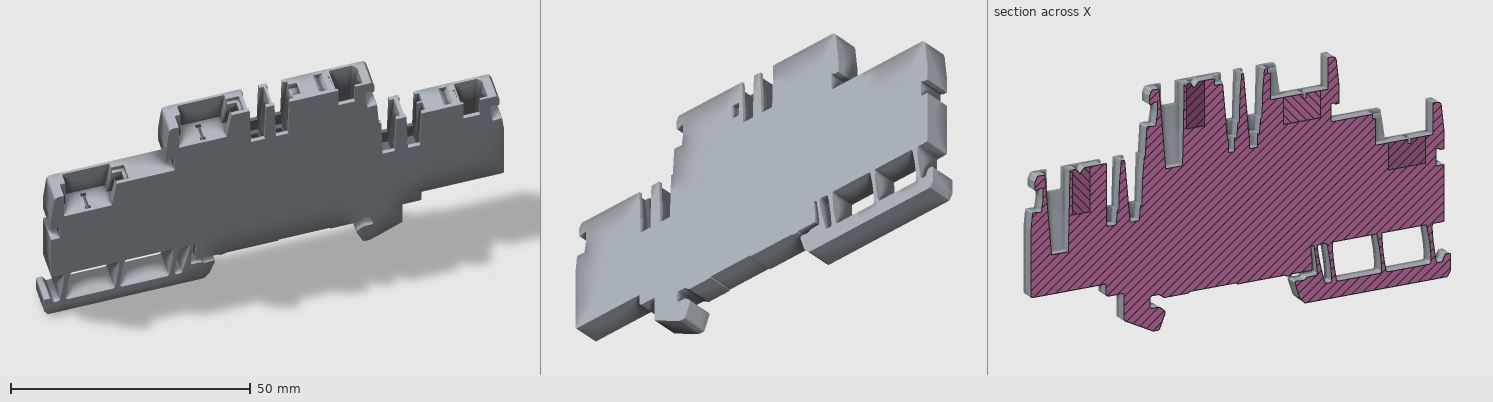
import cadquery as cq
import math


WIDTH = 6.1
TOP_UPPER = 53.6
TOP_LOWER = 39.2
LENGTH = 100.0
BELLY = 12.4
RAIL_SEAT = 7.0
FOOT_TOP = 3.6
SIDE_WALL = 0.55

ENTRY_SHIFT = 27.2
ENTRIES = [(0.0, TOP_LOWER), (ENTRY_SHIFT, TOP_UPPER)]
FUNNEL_TOP = (3.4, 9.3)
FUNNEL_FLOOR = (5.0, 8.9)
FUNNEL_TOP_X = (SIDE_WALL, 5.6)
FUNNEL_FLOOR_X = (1.3, 4.5)
FUNNEL_DEPTH = 18.0
FUNNEL_TOP_CUT = 0.9
FUNNEL_FLOOR_CUT = 0.1
SIDE_NOTCH = (5.2, 8.8)
SIDE_NOTCH_DEPTH = 5.0
BRIDGE_NOTCH = (9.6, 10.2)
BRIDGE_NOTCH_X = (2.0, 4.2)
BRIDGE_NOTCH_DEPTH = 0.5
PUSHER = (10.0, 14.1)
PUSHER_X = (0.8, 5.3)
PUSHER_DEPTH = 10.0
GROOVE = (10.8, 11.7, 12.8)
GROOVE_DEPTH = 1.2

LOWER_SOCKETS = [(17.9, 21.2), (23.4, 26.7)]
UPPER_SOCKETS = [(46.6, 49.9), (51.7, 55.3)]
SOCKET_DEPTH = 10.7
SOCKET_TAPER = 0.3
SOCKET_X = (0.8, 5.3)
SOCKET_LEAD = 1.0
SOCKET_BACK = 0.3
POCKET_DEPTH = 14.0
SOCKET_NECK = 0.9
SOCKET_RIB = (16.8, 18.1)
SOCKET_RIB_X = (2.9, 3.3)
CONTACT_HOLE_X = (1.8, 4.4)
CONTACT_HOLE_INSET = 0.5
CONTACT_HOLE_DEPTH = 3.0

TEST_POCKET = (43.8, 45.7)
TEST_POCKET_X = (1.7, 4.6)
TEST_POCKET_DEPTH = 1.5
TEST_WINDOW = (43.9, 45.7)
TEST_WINDOW_Z = (45.4, 48.7)
TEST_WINDOW_DEPTH = 1.2

LEVER_SHIFT = 25.0
LEVER_BAYS = [(0.0, TOP_UPPER), (LEVER_SHIFT, TOP_LOWER)]
BAY_END = 73.5
BAY_ROOT = 71.6
NOTCH_SILL = 25.1
RECESS_DEPTH = 7.0
RECESS_MOUTH = 59.2
LEVER_START = 60.3
LEVER_STEPS = (68.9, 70.1)
LEVER_STEP_X = 3.4
RECESS_STEPS = (69.5, 70.7)
RECESS_STEP_X = 3.0
LEVER_THICKNESS = 6.0
SCREW_SLOT = (64.6, 65.8)
SCREW_SLOT_X = (1.3, 5.5)
SCREW_SLOT_WEB = 0.6
SCREW_SLOT_PAD = 0.8
SCREW_SLOT_DEPTH = 1.0
PROBE_POCKET = (56.4, RECESS_MOUTH)
PROBE_POCKET_X = (1.7, 5.4)
PROBE_POCKET_DEPTH = 1.0
PROBE_CHANNEL = (57.1, 60.5)
PROBE_CHANNEL_X = (2.4, 4.6)

WINDOW_PITCH = 11.8
LEG_BEND = 35.0


def box(u_range, x_range, z_low, z_high):
    """Block between two u positions, two x positions and two heights."""
    (u0, u1), (x0, x1) = u_range, x_range
    block = cq.Workplane("XY").box(x1 - x0, u1 - u0, z_high - z_low, centered=False)
    return block.translate((x0, -u1, z_low))


def side_prism(points, x_range=(0, WIDTH)):
    """Prism along X from corners (u, z) or (u, z, corner radius)."""
    corners = [(-p[0], p[1], p[2] if len(p) > 2 else 0) for p in points]
    path = []
    for i, (y, z, radius) in enumerate(corners):
        before = corners[i - 1]
        after = corners[(i + 1) % len(corners)]
        if radius == 0:
            path.append([(y, z)])
            continue
        angle_in = math.atan2(before[1] - z, before[0] - y)
        angle_out = math.atan2(after[1] - z, after[0] - y)
        half = abs(math.remainder(angle_out - angle_in, 2 * math.pi)) / 2
        middle = angle_in + math.remainder(angle_out - angle_in, 2 * math.pi) / 2
        tangent = radius / math.tan(half)
        bulge = radius / math.sin(half) - radius
        path.append([
            (y + tangent * math.cos(angle_in), z + tangent * math.sin(angle_in)),
            (y + bulge * math.cos(middle), z + bulge * math.sin(middle)),
            (y + tangent * math.cos(angle_out), z + tangent * math.sin(angle_out)),
        ])
    wire = cq.Workplane("YZ", origin=(x_range[0], 0, 0)).moveTo(*path[0][-1])
    for corner in path[1:] + path[:1]:
        wire = wire.lineTo(*corner[0])
        if len(corner) == 3:
            wire = wire.threePointArc(corner[1], corner[2])
    return wire.close().extrude(x_range[1] - x_range[0])


def entry_edge(shift, top):
    """Outline of an entry's +Y end: marker notch, lip and top corner."""
    return [
        (shift + 0.4, top - 7.9, 0.3),
        (shift + 2.5, top - 8.1, 0.2),
        (shift + 2.9, top - 5.5),
        (shift + 2.9, top - 2.9),
        (shift + 2.2, top - 2.9),
        (shift + 1.0, top - 3.4, 0.3),
        (shift + 1.0, top - 1.2),
        (shift + 1.6, top, 0.4),
    ]


def lever_edge(shift, top):
    """Outline of a lever bay's -Y end: rounded corner, slope and marker notch."""
    return [
        (shift + 72.7, top, 1.1),
        (shift + BAY_END, top - 7.1),
        (shift + BAY_END, top - 10.7),
        (shift + 72.4, top - 10.7),
        (shift + 72.2, top - 10.4),
        (shift + BAY_ROOT, top - 10.4),
    ]


def body_outline():
    """Corners of the whole side outline, clockwise from the bottom of the +Y end."""
    lower_root = LEVER_SHIFT + BAY_ROOT
    lower_end = LEVER_SHIFT + BAY_END
    rail_hook = [
        (62.2, RAIL_SEAT), (62.0, 6.7), (60.8, 6.7), (60.6, RAIL_SEAT), (49.0, RAIL_SEAT), (49.0, 7.3),
        (37.8, 7.3), (37.8, RAIL_SEAT), (31.8, RAIL_SEAT, 0.5), (30.5, 7.9, 0.8), (28.4, 7.9, 0.5),
        (28.4, 5.2, 0.5), (30.6, 5.2, 1.5), (32.2, 3.9, 0.8), (30.6, 0, 0.6), (29.2, 0, 0.6),
        (22.1, FOOT_TOP, 0.3), (22.1, 9.6), (17.9, 9.6, 0.6), (17.9, BELLY),
    ]
    foot = [
        (95.6, BELLY, 0.5), (95.7, 9.5, LEG_BEND), (96.6, FOOT_TOP, 0.6), (97.9, FOOT_TOP, 0.4),
        (98.7, 5.2, 0.3), (LENGTH, 5.2, 0.4), (LENGTH, 1.3, 0.5), (99.2, 0, 0.3), (65.3, 0, 0.5),
        (64.0, 1.4, 1.5), (62.7, 5.4, 0.4), (64.4, 5.2), (65.2, 5.2), (65.8, 5.7), (68.0, 5.8),
        (68.2, 6.2), (67.9, 9.0), (67.4, BELLY, 0.3), (66.7, BELLY), (67.0, 9.5), (67.0, RAIL_SEAT),
    ]
    return (
        [(0, BELLY, 0.4), (0, 27.5)]
        + entry_edge(0, TOP_LOWER)
        + [(ENTRY_SHIFT, TOP_LOWER)]
        + entry_edge(ENTRY_SHIFT, TOP_UPPER)
        + lever_edge(0, TOP_UPPER)
        + [(BAY_ROOT, TOP_LOWER, 0.3)]
        + lever_edge(LEVER_SHIFT, TOP_LOWER)
        + [(lower_root, NOTCH_SILL, 0.2), (lower_end, NOTCH_SILL, 0.2), (lower_end, BELLY, 0.4)]
        + foot
        + rail_hook
    )


def cut_leg_windows(body):
    """Cut one narrow and two wide windows, leaving thin bent legs between them."""
    narrow = [
        (68.2, BELLY, 0.5), (68.8, 8.5, LEG_BEND), (70.1, FOOT_TOP, 0.6),
        (71.6, FOOT_TOP, 0.4), (71.5, 6.5, LEG_BEND), (70.5, BELLY, 0.6),
    ]
    body = body.cut(side_prism(narrow))
    for shift in (0, WINDOW_PITCH):
        wide = [
            (shift + 71.9, BELLY), (shift + 71.9, 9.0, LEG_BEND), (shift + 72.9, FOOT_TOP, 0.6),
            (shift + 83.5, FOOT_TOP, 0.5), (shift + 83.4, 7.0, LEG_BEND), (shift + 82.4, BELLY, 0.5),
        ]
        body = body.cut(side_prism(wide))
    return body


def funnel_corners(u_range, x_range, bevel):
    """Funnel section as (x, y) corners, bevelled where +Y meets -X."""
    (u0, u1), (x0, x1) = u_range, x_range
    return [(x0 + bevel, -u0), (x1, -u0), (x1, -u1), (x0, -u1), (x0, -u0 - bevel)]


def entry_funnel(shift, top):
    funnel = (
        cq.Workplane("XY", origin=(0, -shift, top))
        .polyline(funnel_corners(FUNNEL_TOP, FUNNEL_TOP_X, FUNNEL_TOP_CUT)).close()
        .workplane(offset=-FUNNEL_DEPTH)
        .polyline(funnel_corners(FUNNEL_FLOOR, FUNNEL_FLOOR_X, FUNNEL_FLOOR_CUT)).close()
        .loft(ruled=True)
    )
    notch = box(SIDE_NOTCH, (FUNNEL_FLOOR_X[1], WIDTH), top - SIDE_NOTCH_DEPTH, top)
    bridge = box(BRIDGE_NOTCH, BRIDGE_NOTCH_X, top - BRIDGE_NOTCH_DEPTH, top)
    return funnel.union(notch.union(bridge).translate((0, -shift, 0)))


def pusher_well(shift, top):
    return box(PUSHER, PUSHER_X, top - PUSHER_DEPTH, top).translate((0, -shift, 0))


def make_pusher(shift, top):
    """Release pusher filling its well, with a V groove across its top."""
    start, bottom, end = GROOVE
    groove = side_prism([(start, top), (end, top), (bottom, top - GROOVE_DEPTH)])
    return pusher_well(shift, top).cut(groove.translate((0, -shift, 0)))


def jumper_socket(start, end, top):
    """Tapered notch through both side walls and a wider-mouthed pocket between them."""
    sill = top - SOCKET_DEPTH
    floor = top - POCKET_DEPTH
    notch = side_prism([(start, top), (end, top), (end - SOCKET_TAPER, sill), (start + SOCKET_TAPER, sill)])
    pocket = side_prism(
        [
            (start - SOCKET_LEAD, top), (end + SOCKET_BACK, top),
            (end - SOCKET_NECK, floor), (start + SOCKET_TAPER, floor),
        ],
        SOCKET_X,
    )
    return notch.union(pocket)


def contact_hole(start, end):
    """Narrow hole below the floor of an upper jumper socket."""
    floor = TOP_UPPER - POCKET_DEPTH
    span = (start + CONTACT_HOLE_INSET, end - SOCKET_NECK - CONTACT_HOLE_INSET)
    return box(span, CONTACT_HOLE_X, floor - CONTACT_HOLE_DEPTH, floor)


def test_point():
    pocket = box(TEST_POCKET, TEST_POCKET_X, TOP_UPPER - TEST_POCKET_DEPTH, TOP_UPPER)
    return pocket.union(box(TEST_WINDOW, (0, TEST_WINDOW_DEPTH), *TEST_WINDOW_Z))


def stepped_slab(start, steps, step_x, z_low, z_high):
    """Slab open to +X whose -Y end is stepped: shorter beside the -X wall."""
    short_end, long_end = steps
    slab = box((start, short_end), (SIDE_WALL, WIDTH), z_low, z_high)
    return slab.union(box((start, long_end), (step_x, WIDTH), z_low, z_high))


def lever_blank(shift, top):
    z_high = top - RECESS_DEPTH
    blank = stepped_slab(LEVER_START, LEVER_STEPS, LEVER_STEP_X, z_high - LEVER_THICKNESS, z_high)
    return blank.translate((0, -shift, 0))


def lever_recess(shift, top):
    """Recess above a lever, with a sloping +Y wall and a probe channel leading into it."""
    floor = top - RECESS_DEPTH
    recess = stepped_slab(LEVER_START, RECESS_STEPS, RECESS_STEP_X, floor, top)
    slope = side_prism([(RECESS_MOUTH, top), (LEVER_START, top), (LEVER_START, floor)], (SIDE_WALL, WIDTH))
    pocket = box(PROBE_POCKET, PROBE_POCKET_X, top - PROBE_POCKET_DEPTH, top)
    channel = box(PROBE_CHANNEL, PROBE_CHANNEL_X, floor, top)
    return recess.union(slope).union(pocket).union(channel).translate((0, -shift, 0))


def make_lever(shift, top):
    """Lever filling the bottom of its recess, with a dumbbell-shaped screwdriver slot."""
    z_high = top - RECESS_DEPTH
    z_low = z_high - SCREW_SLOT_DEPTH
    middle = sum(SCREW_SLOT) / 2
    x0, x1 = SCREW_SLOT_X
    slot = box((middle - SCREW_SLOT_WEB / 2, middle + SCREW_SLOT_WEB / 2), SCREW_SLOT_X, z_low, z_high)
    slot = slot.union(box(SCREW_SLOT, (x0, x0 + SCREW_SLOT_PAD), z_low, z_high))
    slot = slot.union(box(SCREW_SLOT, (x1 - SCREW_SLOT_PAD, x1), z_low, z_high))
    return lever_blank(shift, top).cut(slot.translate((0, -shift, 0)))


def make_housing():
    body = cut_leg_windows(side_prism(body_outline()))
    for shift, top in ENTRIES:
        body = body.cut(entry_funnel(shift, top)).cut(pusher_well(shift, top))
    for start, end in LOWER_SOCKETS:
        body = body.cut(jumper_socket(start, end, TOP_LOWER))
    body = body.union(box(SOCKET_RIB, SOCKET_RIB_X, TOP_LOWER - POCKET_DEPTH, TOP_LOWER))
    for start, end in UPPER_SOCKETS:
        body = body.cut(jumper_socket(start, end, TOP_UPPER)).cut(contact_hole(start, end))
    body = body.cut(test_point())
    for shift, top in LEVER_BAYS:
        body = body.cut(lever_recess(shift, top)).cut(lever_blank(shift, top))
    return body


housing = make_housing().solids().val()
pushers = [make_pusher(shift, top).solids().val() for shift, top in ENTRIES]
levers = [make_lever(shift, top).solids().val() for shift, top in LEVER_BAYS]
result = cq.Compound.makeCompound([housing, *pushers, *levers])